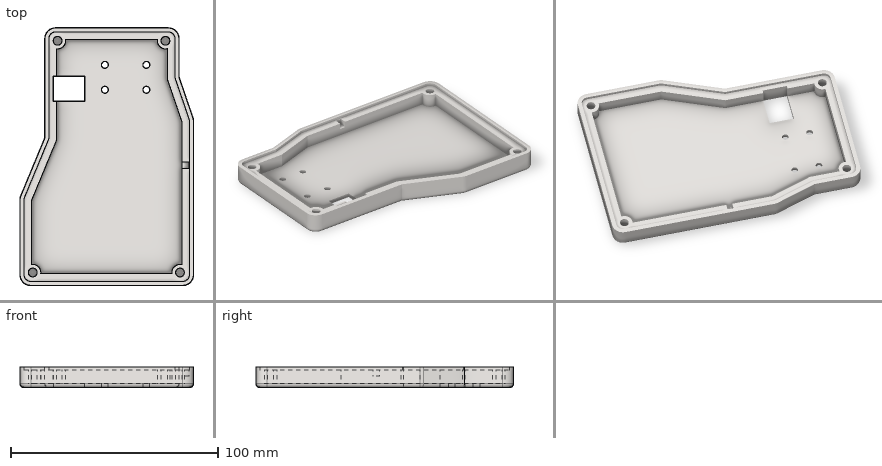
import cadquery as cq

width = 83.8
length = 124.3
height = 10.0

upper_left_x = 12.0
upper_right_x = 76.8
left_slant_bottom_y = 42.3
left_slant_top_y = 71.2
right_slant_bottom_y = 80.0
right_slant_top_y = 100.5
corner_radius = 5.3
bottom_edge_radius = 2.0

lower_corners = [(0, 0), (width, 0)]
right_knee = (width, right_slant_bottom_y)
right_bend = (upper_right_x, right_slant_top_y)
upper_corners = [(upper_right_x, length), (upper_left_x, length)]
left_bend = (upper_left_x, left_slant_top_y)
left_knee = (0, left_slant_bottom_y)
outline_points = lower_corners + [right_knee, right_bend] + upper_corners + [left_bend, left_knee]
convex_corners = lower_corners + [right_knee] + upper_corners + [left_knee]

floor_thickness = 2.0
rim_width = 2.0
rim_height = 1.5
wall_width = 5.7
ledge_z = height - rim_height

boss_radius = 3.9
boss_hole_diameter = 4.2
boss_inset_left = 6.2
boss_inset_right = 6.6
boss_inset_end = 6.3
boss_centres = [
    (boss_inset_left, boss_inset_end),
    (width - boss_inset_right, boss_inset_end),
    (upper_left_x + boss_inset_left, length - boss_inset_end),
    (upper_right_x - boss_inset_right, length - boss_inset_end),
]

mount_hole_diameter = 3.2
mount_spacing_x = 20.0
mount_spacing_y = 12.0
mount_centre = (51.0, 100.4)

opening_size_x = 15.0
opening_size_y = 12.0
opening_centre = (23.7, 94.9)

notch_width = 3.0
notch_reach = 3.4
notch_depth = 3.0
notch_centre_y = 58.0


def outline_prism(inset, z_bottom, z_top):
    """Prism of the outline moved inward, its convex corners rounded concentrically."""
    sketch = cq.Workplane("XY", origin=(0, 0, z_bottom)).polyline(outline_points).close()
    if inset > 0:
        sketch = sketch.offset2D(-inset, "intersection")
    prism = sketch.extrude(z_top - z_bottom)
    radius = corner_radius - inset
    if radius > 0:
        z_middle = (z_bottom + z_top) / 2
        for x, y in convex_corners:
            corner = cq.NearestToPointSelector((x, y, z_middle))
            prism = prism.edges("|Z").edges(corner).fillet(radius)
    return prism


def cylinders(centres, diameter, z_bottom, z_top):
    """Upright cylinders at the given centres."""
    plane = cq.Workplane("XY", origin=(0, 0, z_bottom))
    return plane.pushPoints(centres).circle(diameter / 2).extrude(z_top - z_bottom)


def block(size_x, size_y, centre, z_bottom, z_top):
    """Upright rectangular block about a centre."""
    plane = cq.Workplane("XY", origin=(*centre, z_bottom))
    return plane.rect(size_x, size_y).extrude(z_top - z_bottom)


def make_shell():
    """Solid outer shape with a rounded bottom edge."""
    return outline_prism(0, 0, height).faces("<Z").edges().fillet(bottom_edge_radius)


def make_cavity():
    """Space above the floor, leaving out the corner bosses."""
    cavity = outline_prism(wall_width, floor_thickness, ledge_z)
    return cavity.cut(cylinders(boss_centres, 2 * boss_radius, floor_thickness, ledge_z))


def make_mount_holes():
    """Grid of cylinders through the floor."""
    grid = cq.Workplane("XY", origin=(*mount_centre, 0)).rarray(mount_spacing_x, mount_spacing_y, 2, 2)
    return grid.circle(mount_hole_diameter / 2).extrude(floor_thickness)


def make_notch():
    """Block that cuts the ledge, starting from the cavity side."""
    centre = (width - wall_width + notch_reach / 2, notch_centre_y)
    return block(notch_reach, notch_width, centre, ledge_z - notch_depth, ledge_z)


result = (
    make_shell()
    .cut(outline_prism(rim_width, ledge_z, height))
    .cut(make_cavity())
    .cut(cylinders(boss_centres, boss_hole_diameter, floor_thickness, ledge_z))
    .cut(make_mount_holes())
    .cut(block(opening_size_x, opening_size_y, opening_centre, 0, ledge_z))
    .cut(make_notch())
)